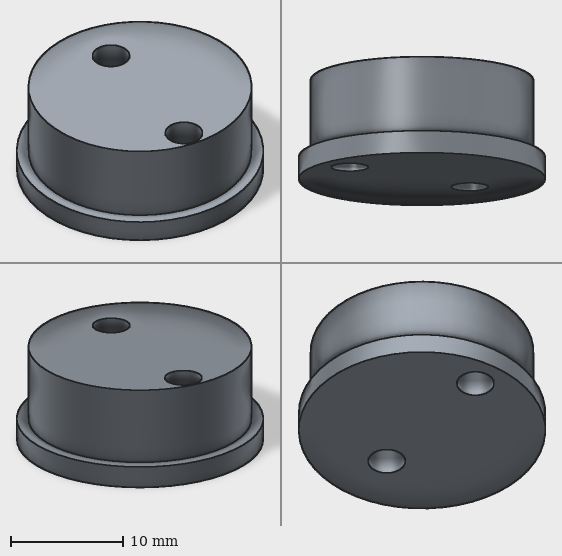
import cadquery as cq

flange_diameter = 22.0
flange_height = 2.0
body_diameter = 19.9
total_height = 9.0
hole_diameter = 3.3
left_hole_x = -5.37
right_hole_x = 8.12

body_height = total_height - flange_height

flange = cq.Workplane("XY").circle(flange_diameter / 2).extrude(flange_height)
plug = flange.faces(">Z").workplane().circle(body_diameter / 2).extrude(body_height)

holes = (
    cq.Workplane("XY")
    .pushPoints([(left_hole_x, 0), (right_hole_x, 0)])
    .circle(hole_diameter / 2)
    .extrude(total_height)
)

result = plug.cut(holes)